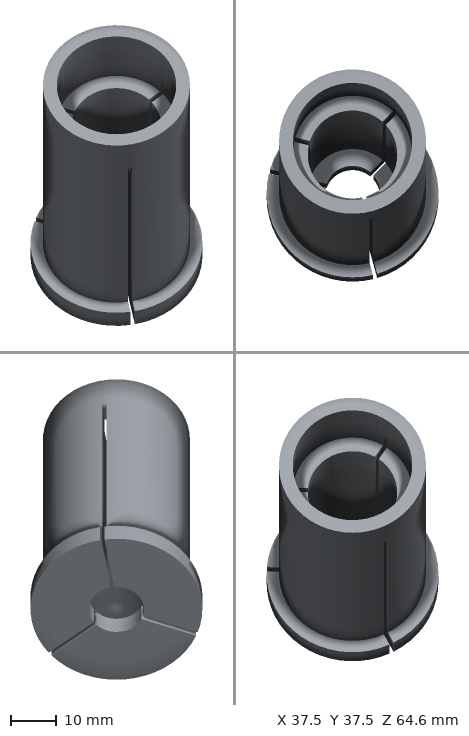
import cadquery as cq
import math

total_height = 64.6
body_diameter = 32.05
flange_diameter = 37.5
flange_height = 5.0

top_bore_diameter = 26.05
top_bore_depth = 15.0
middle_bore_diameter = 19.5
bottom_hole_diameter = 12.0
bottom_lip_height = flange_height

slot_count = 3
slot_width = 1.0
slot_top = 55.7
slot_roof_slope = 30.0
first_slot_angle = 90.0


def cylinder(diameter, bottom, top):
    """Vertical cylinder on the sleeve axis between two heights."""
    return cq.Workplane("XY").workplane(offset=bottom).circle(diameter / 2).extrude(top - bottom)


def radial_slot(angle):
    """Slot from the axis past the flange rim, open at the bottom, with a roof falling inwards."""
    reach = flange_diameter
    rise_per_length = math.tan(math.radians(slot_roof_slope))
    roof_at_axis = slot_top - body_diameter / 2 * rise_per_length
    roof_at_reach = roof_at_axis + reach * rise_per_length
    return (
        cq.Workplane("XZ")
        .polyline([(0, 0), (reach, 0), (reach, roof_at_reach), (0, roof_at_axis)])
        .close()
        .extrude(slot_width / 2, both=True)
        .rotate((0, 0, 0), (0, 0, 1), angle)
    )


result = cylinder(body_diameter, 0, total_height)
result = result.union(cylinder(flange_diameter, 0, flange_height))

result = result.cut(cylinder(top_bore_diameter, total_height - top_bore_depth, total_height))
result = result.cut(cylinder(middle_bore_diameter, bottom_lip_height, total_height))
result = result.cut(cylinder(bottom_hole_diameter, 0, total_height))

for index in range(slot_count):
    result = result.cut(radial_slot(first_slot_angle + index * 360 / slot_count))